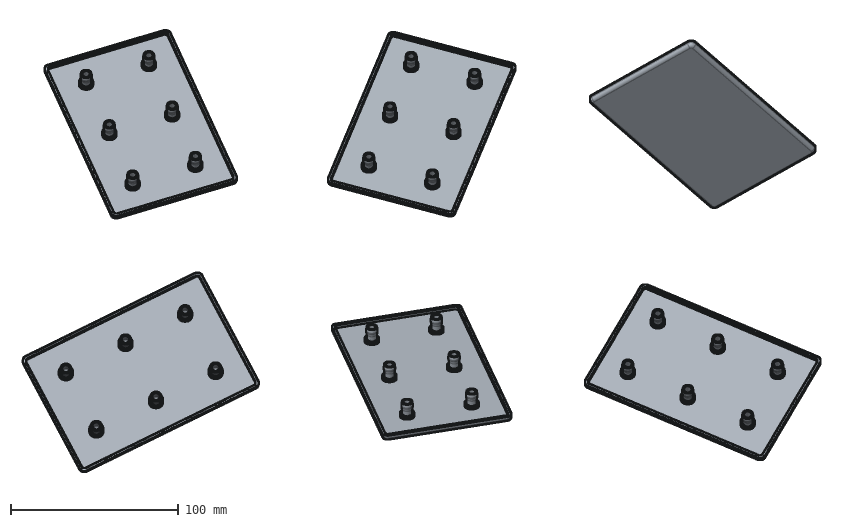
import cadquery as cq

length = 120.0
width = length * 2 / 3
tray_height = length / 30
wall = 1.8
floor_thickness = tray_height / 2
corner_radius = 3.2
recess_corner_radius = 1.8
bottom_round = 2.3

pin_pitch = length / 3
pin_columns = 3
pin_rows = 2
pin_top = 12.0
flange_diameter = 8.6
flange_height = 1.5
stem_diameter = 6.2
barb_diameter = 7.0
barb_start = 7.1
barb_bottom = 9.1
barb_top = 9.8
bore_diameter = 4.5
bore_bottom = floor_thickness


def make_tray():
    """Shallow tray with rounded corners and a rounded bottom edge."""
    body = (
        cq.Workplane("XY")
        .rect(length, width)
        .extrude(tray_height)
        .edges("|Z")
        .fillet(corner_radius)
        .faces("<Z")
        .edges()
        .fillet(bottom_round)
    )
    recess = (
        cq.Workplane("XY", origin=(0, 0, floor_thickness))
        .rect(length - 2 * wall, width - 2 * wall)
        .extrude(tray_height - floor_thickness)
        .edges("|Z")
        .fillet(recess_corner_radius)
    )
    return body.cut(recess)


def make_pin():
    """Flanged pin with a tapered barb and a blind bore with a hemispherical bottom."""
    flange_radius = flange_diameter / 2
    stem_radius = stem_diameter / 2
    barb_radius = barb_diameter / 2
    bore_radius = bore_diameter / 2
    flange_top = floor_thickness + flange_height
    dome_center = bore_bottom + bore_radius
    arc_offset = bore_radius / 2**0.5
    return (
        cq.Workplane("XZ")
        .moveTo(0, floor_thickness / 2)
        .lineTo(flange_radius, floor_thickness / 2)
        .lineTo(flange_radius, flange_top)
        .lineTo(stem_radius, flange_top)
        .lineTo(stem_radius, barb_start)
        .lineTo(barb_radius, barb_bottom)
        .lineTo(barb_radius, barb_top)
        .lineTo(stem_radius, pin_top)
        .lineTo(bore_radius, pin_top)
        .lineTo(bore_radius, dome_center)
        .threePointArc((arc_offset, dome_center - arc_offset), (0, bore_bottom))
        .close()
        .revolve(360, (0, 0, 0), (0, 1, 0))
    )


result = make_tray()
pin = make_pin()
pin_centers = cq.Workplane("XY").rarray(pin_pitch, pin_pitch, pin_columns, pin_rows).vals()
for center in pin_centers:
    result = result.union(pin.translate(center.toTuple()))